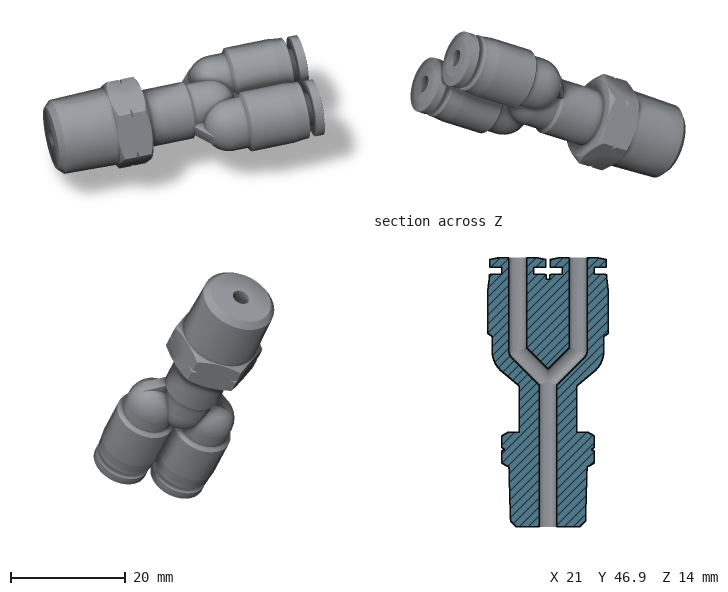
import cadquery as cq
import math


thread_end_radius = 6.55
thread_root_radius = 6.85
thread_chamfer = 1.05
hex_start = 10.5
hex_end = 16.5
hex_width = 14.0
hex_corner_radius = hex_width / math.sqrt(3)
hex_chamfer_angle = 30
shank_radius = 5.0
shank_end = 25.05

groove_width = 0.55
groove_depth = 0.5

neck_radius = 4.5
neck_dome_center = 28.6
shank_chamfer = shank_radius - neck_radius

tube_radius = 5.25
tube_offset = tube_radius
tube_neck_radius = neck_radius
tube_dome_center = 30.6
tube_chamfer_start = 33.15
tube_start = 33.67
tube_taper_start = 41.25
tube_taper_end = 43.2
tube_lip_start = 43.85
tube_end = 44.0
tube_rim_radius = 5.0
tube_face_radius = 4.75

collar_stem_radius = 2.8
collar_radius = 4.92
collar_start = 45.1
collar_bevel_start = 46.55
collar_face_radius = 3.3
total_length = 46.9

web_thickness = 2.15

bore_radius = 1.5
branch_angle = 45
branch_start = tube_dome_center - tube_offset / math.tan(math.radians(branch_angle))


def revolve_about_y(profile, x=0):
    """Turn a closed half profile about the line parallel to Y at the given x."""
    turned = profile.close().revolve(360, (0, 0, 0), (0, 1, 0))
    return turned.translate((x, 0, 0))


def cylinder_along(start, direction, length, radius):
    return cq.Workplane(
        cq.Solid.makeCylinder(radius, length, cq.Vector(*start), cq.Vector(*direction))
    )


def make_thread():
    profile = (
        cq.Workplane("XY")
        .lineTo(thread_end_radius - thread_chamfer, 0)
        .lineTo(thread_end_radius, thread_chamfer)
        .lineTo(thread_root_radius, hex_start)
        .lineTo(0, hex_start)
    )
    return revolve_about_y(profile)


def make_hexagon():
    prism = (
        cq.Workplane("XZ", origin=(0, hex_start, 0))
        .polygon(6, 2 * hex_corner_radius)
        .extrude(hex_start - hex_end)
    )
    face_radius = hex_width / 2
    bevel = (hex_corner_radius - face_radius) * math.tan(math.radians(hex_chamfer_angle))
    middle = (hex_start + hex_end) / 2
    envelope = (
        cq.Workplane("XY")
        .moveTo(0, hex_start)
        .lineTo(face_radius, hex_start)
        .lineTo(hex_corner_radius, hex_start + bevel)
        .lineTo(hex_corner_radius, middle - groove_width / 2)
        .lineTo(hex_corner_radius - groove_depth, middle)
        .lineTo(hex_corner_radius, middle + groove_width / 2)
        .lineTo(hex_corner_radius, hex_end - bevel)
        .lineTo(face_radius, hex_end)
        .lineTo(0, hex_end)
    )
    return prism.intersect(revolve_about_y(envelope))


def make_shank_and_neck():
    dome_half = neck_radius * math.sqrt(0.5)
    profile = (
        cq.Workplane("XY")
        .moveTo(0, hex_end)
        .lineTo(shank_radius, hex_end)
        .lineTo(shank_radius, shank_end - shank_chamfer)
        .lineTo(neck_radius, shank_end)
        .lineTo(neck_radius, neck_dome_center)
        .threePointArc(
            (dome_half, neck_dome_center + dome_half),
            (0, neck_dome_center + neck_radius),
        )
    )
    return revolve_about_y(profile)


def make_tube(x):
    dome_half = tube_neck_radius * math.sqrt(0.5)
    profile = (
        cq.Workplane("XY")
        .moveTo(0, tube_dome_center - tube_neck_radius)
        .threePointArc(
            (dome_half, tube_dome_center - dome_half),
            (tube_neck_radius, tube_dome_center),
        )
        .lineTo(tube_neck_radius, tube_chamfer_start)
        .lineTo(tube_radius, tube_start)
        .lineTo(tube_radius, tube_taper_start)
        .lineTo(tube_rim_radius, tube_taper_end)
        .lineTo(tube_rim_radius, tube_lip_start)
        .lineTo(tube_face_radius, tube_end)
        .lineTo(collar_stem_radius, tube_end)
        .lineTo(collar_stem_radius, collar_start)
        .lineTo(collar_radius, collar_start)
        .lineTo(collar_radius, collar_bevel_start)
        .lineTo(collar_face_radius, total_length)
        .lineTo(0, total_length)
    )
    return revolve_about_y(profile, x)


def make_web():
    foot = (shank_radius, shank_end - shank_chamfer)
    run = tube_offset - foot[0]
    rise = tube_dome_center - foot[1]
    distance = math.hypot(run, rise)
    slope_angle = math.atan2(rise, run) - math.asin(tube_neck_radius / distance)
    edge_length = math.sqrt(distance**2 - tube_neck_radius**2)
    tangent_point = (
        foot[0] + edge_length * math.cos(slope_angle),
        foot[1] + edge_length * math.sin(slope_angle),
    )
    right_side = [
        foot,
        tangent_point,
        (tube_offset, tube_dome_center),
        (tube_offset, tube_taper_end),
    ]
    left_side = [(-x, y) for x, y in reversed(right_side)]
    return (
        cq.Workplane("XY")
        .polyline(right_side + left_side)
        .close()
        .extrude(web_thickness / 2, both=True)
    )


def make_branch_passage(side):
    """Slanted bore from the main bore to a tube axis, then straight out of the tube."""
    angle = math.radians(branch_angle)
    direction = (side * math.sin(angle), math.cos(angle), 0)
    elbow = (side * tube_offset, tube_dome_center, 0)
    slanted = cylinder_along(
        (0, branch_start, 0), direction, tube_offset / math.sin(angle), bore_radius
    )
    joint = cq.Workplane("XY").sphere(bore_radius).translate(elbow)
    outlet = cylinder_along(elbow, (0, 1, 0), total_length - tube_dome_center, bore_radius)
    return slanted.union(joint).union(outlet)


body = make_thread().union(make_hexagon()).union(make_shank_and_neck()).union(make_web())
passage = cylinder_along((0, 0, 0), (0, 1, 0), branch_start, bore_radius)
passage = passage.union(cq.Workplane("XY").sphere(bore_radius).translate((0, branch_start, 0)))

for side in (-1, 1):
    body = body.union(make_tube(side * tube_offset))
    passage = passage.union(make_branch_passage(side))

result = cq.Workplane(body.cut(passage).solids().val())